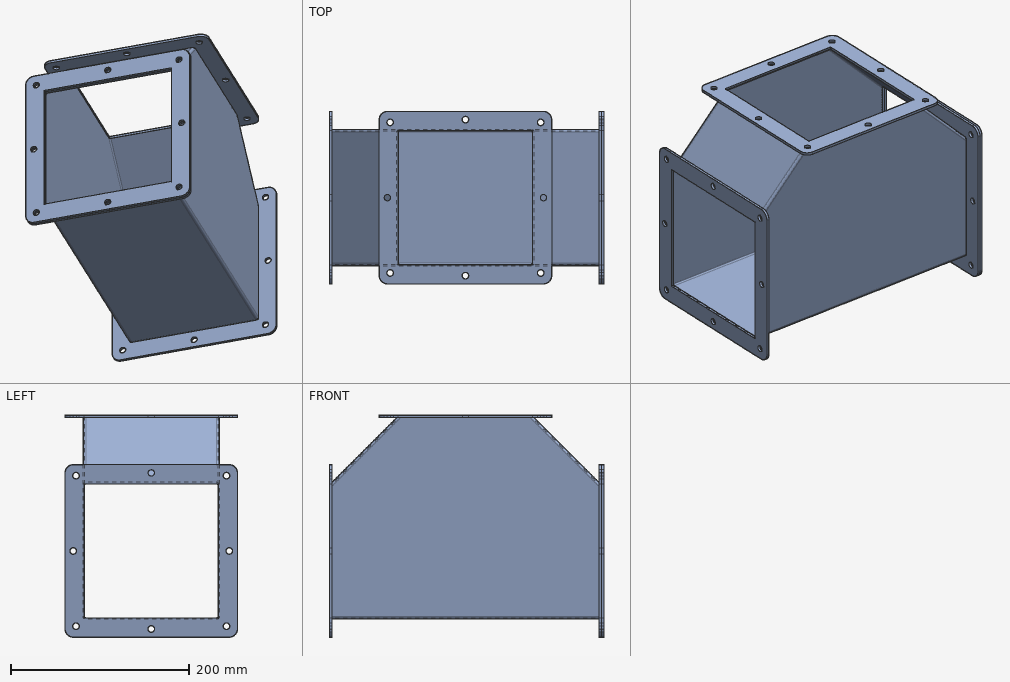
import cadquery as cq
import math

overall_length = 308.0
duct_height = 149.5
duct_inside = 150.0
wall = 1.5
outer_bend_radius = 3.0
inner_bend_radius = outer_bend_radius - wall

flange_size = 193.7
flange_thickness = 3.0
flange_opening = 150.5
flange_corner_radius = 10.0
bolt_hole_diameter = 7.0
corner_hole_offset = 84.5
middle_hole_offset = 87.5

flanges_along_length = 3
half_length = (overall_length - flanges_along_length * flange_thickness) / 2


def make_tee_block(skin, bend_radius):
    """Solid tee lying the given distance outside the inner surface of the duct."""
    half_width = duct_inside / 2 + skin
    shoulder_shift = skin * math.sqrt(2)
    outlet_half = duct_inside / 2 + shoulder_shift
    shoulder_foot = duct_height - half_length + outlet_half
    profile = [
        (-half_length, -half_width),
        (half_length, -half_width),
        (half_length, shoulder_foot),
        (outlet_half, duct_height),
        (-outlet_half, duct_height),
        (-half_length, shoulder_foot),
    ]
    block = cq.Workplane("XZ").polyline(profile).close().extrude(half_width, both=True)
    block = block.faces("<Z").edges("|X").fillet(bend_radius)
    for shoulder_direction in [(1, 0, 1), (-1, 0, 1)]:
        shoulder = block.faces(cq.DirectionMinMaxSelector(cq.Vector(*shoulder_direction), True))
        block = shoulder.edges("not |Y").fillet(bend_radius)
    return block


def make_duct():
    """Folded sheet duct, open at both ends and at the top."""
    outside = make_tee_block(wall, outer_bend_radius)
    inside = make_tee_block(0, inner_bend_radius)
    return outside.cut(inside)


def make_flange(plane):
    """Square bolting frame lying on the plane and growing along its normal."""
    middle_hole_points = [
        (middle_hole_offset, 0),
        (-middle_hole_offset, 0),
        (0, middle_hole_offset),
        (0, -middle_hole_offset),
    ]
    frame = cq.Workplane(plane).rect(flange_size, flange_size).extrude(flange_thickness)
    frame = frame.edges(cq.ParallelDirSelector(plane.zDir)).fillet(flange_corner_radius)
    opening = cq.Workplane(plane).rect(flange_opening, flange_opening).extrude(flange_thickness)
    corner_spacing = 2 * corner_hole_offset
    corner_holes = (
        cq.Workplane(plane)
        .rect(corner_spacing, corner_spacing, forConstruction=True)
        .vertices()
        .circle(bolt_hole_diameter / 2)
        .extrude(flange_thickness)
    )
    middle_holes = (
        cq.Workplane(plane)
        .pushPoints(middle_hole_points)
        .circle(bolt_hole_diameter / 2)
        .extrude(flange_thickness)
    )
    return frame.cut(opening).cut(corner_holes).cut(middle_holes)


duct = make_duct()

flange_planes = [
    cq.Plane(origin=(-half_length, 0, 0), xDir=(0, 1, 0), normal=(-1, 0, 0)),
    cq.Plane(origin=(0, 0, duct_height), xDir=(1, 0, 0), normal=(0, 0, 1)),
    cq.Plane(origin=(half_length, 0, 0), xDir=(0, 1, 0), normal=(1, 0, 0)),
    cq.Plane(origin=(half_length + flange_thickness, 0, 0), xDir=(0, 1, 0), normal=(1, 0, 0)),
]
flanges = [make_flange(plane) for plane in flange_planes]

result = cq.Compound.makeCompound([duct.val(), *[flange.val() for flange in flanges]])